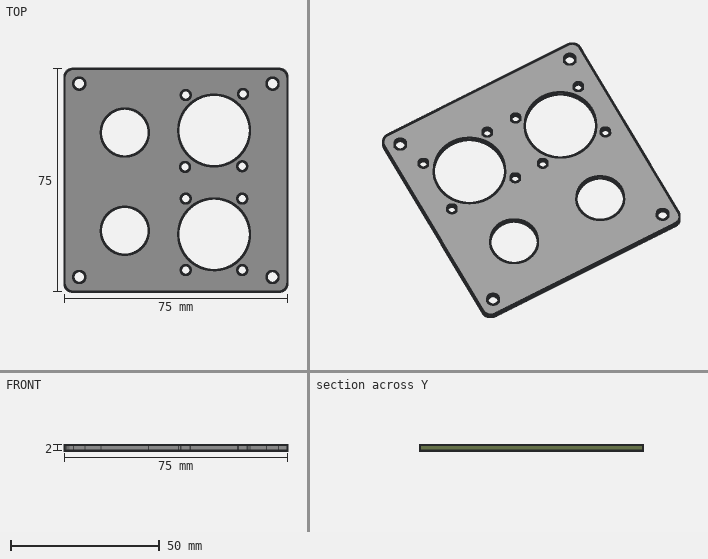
import cadquery as cq

plate_size = 75.0
plate_thickness = 2.0
corner_radius = 3.0

mount_diameter = 4.0
mount_edge_distance = 5.0
mount_offset = plate_size / 2 - mount_edge_distance

small_opening_diameter = 16.05
small_opening_centers = [(-17.2, 16.05), (-17.2, -16.95)]

large_opening_diameter = 24.0
large_opening_centers = [(12.8, 16.7), (12.8, -18.15)]

screw_diameter = 3.2
upper_screw_centers = [(3.3, 28.65), (22.6, 29.0), (3.1, 4.5), (22.3, 4.7)]
lower_screw_centers = [(3.3, -6.15), (22.3, -6.15), (3.3, -30.15), (22.3, -30.15)]


def cut_holes(body, centers, diameter):
    """Drill through holes at the given centres from the top face."""
    return (
        body.faces(">Z")
        .workplane(origin=(0, 0, 0))
        .pushPoints(centers)
        .hole(diameter)
    )


plate = (
    cq.Workplane("XY")
    .box(plate_size, plate_size, plate_thickness)
    .edges("|Z")
    .fillet(corner_radius)
)

mount_centers = [(x, y) for x in (-mount_offset, mount_offset) for y in (-mount_offset, mount_offset)]

plate = cut_holes(plate, mount_centers, mount_diameter)
plate = cut_holes(plate, small_opening_centers, small_opening_diameter)
plate = cut_holes(plate, large_opening_centers, large_opening_diameter)
plate = cut_holes(plate, upper_screw_centers + lower_screw_centers, screw_diameter)

result = plate